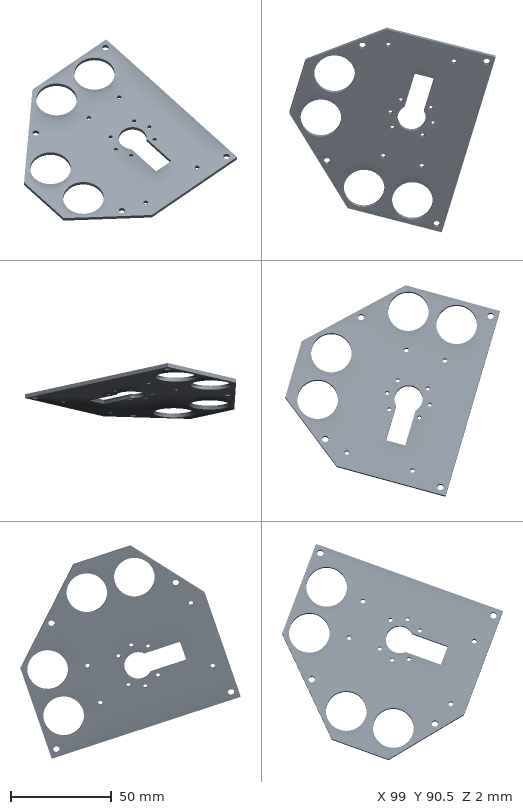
import cadquery as cq
import math

width = 99.0
depth = 90.5
thickness = 2.0
left_edge_bottom = 41.9
right_edge_bottom = 34.4
bottom_edge_left = 41.8
bottom_edge_right = 71.8

opening_diameter = 20.2
opening_pitch = 24.9
side_pair_x = 12.6
side_pair_bottom_y = 46.8
bottom_pair_left_x = 43.6
bottom_pair_y = 15.8

keyhole_x = 55.9
keyhole_y = 59.2
keyhole_diameter = 14.0
slot_width = 10.0
slot_end_x = 79.5

ring_radius = 11.0
ring_hole_diameter = 2.0
ring_angles = (45, 90, 135, 225, 270, 315)

mount_diameter = 3.2
mount_inset = 3.7
lower_mount_y = 25.0
lower_mount_left_x = 21.9
lower_mount_right_x = 87.1

fixing_diameter = 2.3
fixing_left_x = 32.0
fixing_right_x = 91.0
fixing_top_y = 71.2
fixing_left_low_y = 51.3
fixing_right_low_y = 37.3


def drill(body, points, diameter):
    """Cut round through holes at the given points."""
    cutters = cq.Workplane("XY").pushPoints(points).circle(diameter / 2).extrude(thickness)
    return body.cut(cutters)


outline = [
    (0, depth),
    (width, depth),
    (width, right_edge_bottom),
    (bottom_edge_right, 0),
    (bottom_edge_left, 0),
    (0, left_edge_bottom),
]
plate = cq.Workplane("XY").polyline(outline).close().extrude(thickness)

opening_points = []
for step in range(2):
    opening_points.append((side_pair_x, side_pair_bottom_y + step * opening_pitch))
    opening_points.append((bottom_pair_left_x + step * opening_pitch, bottom_pair_y))
plate = drill(plate, opening_points, opening_diameter)

keyhole_center = (keyhole_x, keyhole_y)
plate = drill(plate, [keyhole_center], keyhole_diameter)
slot = (
    cq.Workplane("XY")
    .center(keyhole_x, keyhole_y - slot_width / 2)
    .rect(slot_end_x - keyhole_x, slot_width, centered=False)
    .extrude(thickness)
)
plate = plate.cut(slot)

ring_points = [
    (
        keyhole_x + ring_radius * math.cos(math.radians(angle)),
        keyhole_y + ring_radius * math.sin(math.radians(angle)),
    )
    for angle in ring_angles
]
plate = drill(plate, ring_points, ring_hole_diameter)

mount_points = [
    (mount_inset, depth - mount_inset),
    (width - mount_inset, depth - mount_inset),
    (lower_mount_left_x, lower_mount_y),
    (lower_mount_right_x, lower_mount_y),
]
plate = drill(plate, mount_points, mount_diameter)

fixing_points = [
    (fixing_left_x, fixing_top_y),
    (fixing_left_x, fixing_left_low_y),
    (fixing_right_x, fixing_top_y),
    (fixing_right_x, fixing_right_low_y),
]
plate = drill(plate, fixing_points, fixing_diameter)

result = plate